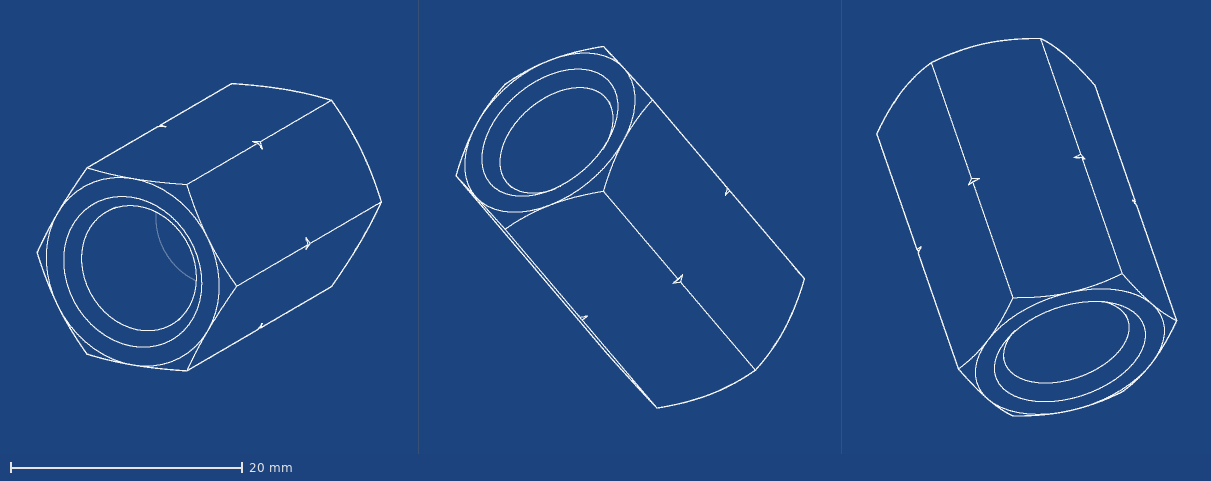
import cadquery as cq
import math

length = 28.0
across_flats = 17.0
bore_mouth_diameter = 11.28
bore_taper = 1 / 16
countersink_diameter = 13.58
countersink_depth = 1.15
corner_chamfer_depth = 0.75
groove_width = 0.4
groove_diameter = 19.0

across_corners = across_flats / math.cos(math.pi / 6)
corner_radius = across_corners / 2
face_radius = across_flats / 2
half_length = length / 2


def revolve_about_axis(profile):
    """Revolve a (radius, Y) outline around the nut axis."""
    return cq.Workplane("XY").polyline(profile).close().revolve(360, (0, 0), (0, 1))


def make_hexagon():
    """Hexagonal bar with two corners on the X axis."""
    return cq.Workplane("XZ").polygon(6, across_corners).extrude(half_length, both=True)


def make_turned_envelope():
    """Chamfered outside shape with a V groove around its middle."""
    shoulder = half_length - corner_chamfer_depth
    return revolve_about_axis([
        (0, -half_length),
        (face_radius, -half_length),
        (corner_radius, -shoulder),
        (corner_radius, -groove_width / 2),
        (groove_diameter / 2, 0),
        (corner_radius, groove_width / 2),
        (corner_radius, shoulder),
        (face_radius, half_length),
        (0, half_length),
    ])


def make_bore():
    """Through bore tapering from both ends to a throat at mid-length, countersunk at each end."""
    mouth_radius = bore_mouth_diameter / 2
    countersink_radius = countersink_diameter / 2
    countersink_bottom = half_length - countersink_depth
    throat_radius = mouth_radius - countersink_bottom * bore_taper / 2
    return revolve_about_axis([
        (0, -half_length),
        (countersink_radius, -half_length),
        (mouth_radius, -countersink_bottom),
        (throat_radius, 0),
        (mouth_radius, countersink_bottom),
        (countersink_radius, half_length),
        (0, half_length),
    ])


result = make_hexagon().intersect(make_turned_envelope()).cut(make_bore())